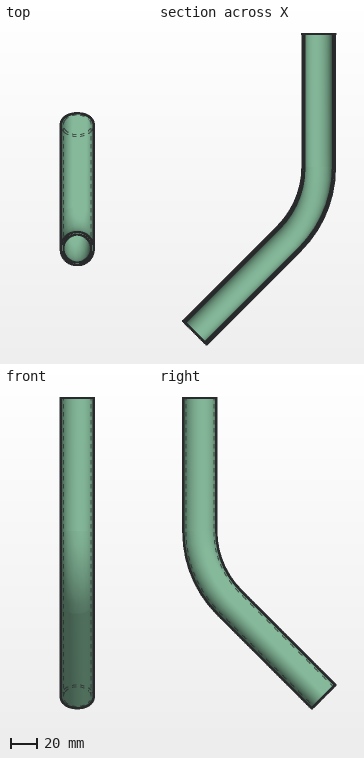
import cadquery as cq
import math

overall_height = 236.3
outer_diameter = 25.3
inner_diameter = 21.3
bend_radius = 76.3
bend_angle = math.radians(45)

bend_drop = bend_radius * math.sin(bend_angle)
bend_offset = bend_radius * (1 - math.cos(bend_angle))
end_face_drop = outer_diameter / 2 * math.sin(bend_angle)
leg_length = (overall_height - bend_drop - end_face_drop) / (1 + math.cos(bend_angle))

top_end = (0, leg_length)
bend_start = (0, 0)
bend_middle = (
    bend_radius * (1 - math.cos(bend_angle / 2)),
    -bend_radius * math.sin(bend_angle / 2),
)
bend_end = (bend_offset, -bend_drop)
lower_end = (
    bend_offset + leg_length * math.sin(bend_angle),
    -bend_drop - leg_length * math.cos(bend_angle),
)

centreline = (
    cq.Workplane("YZ")
    .moveTo(*top_end)
    .lineTo(*bend_start)
    .threePointArc(bend_middle, bend_end)
    .lineTo(*lower_end)
)

result = (
    cq.Workplane("XY", origin=(0, 0, leg_length))
    .circle(outer_diameter / 2)
    .circle(inner_diameter / 2)
    .sweep(centreline)
)